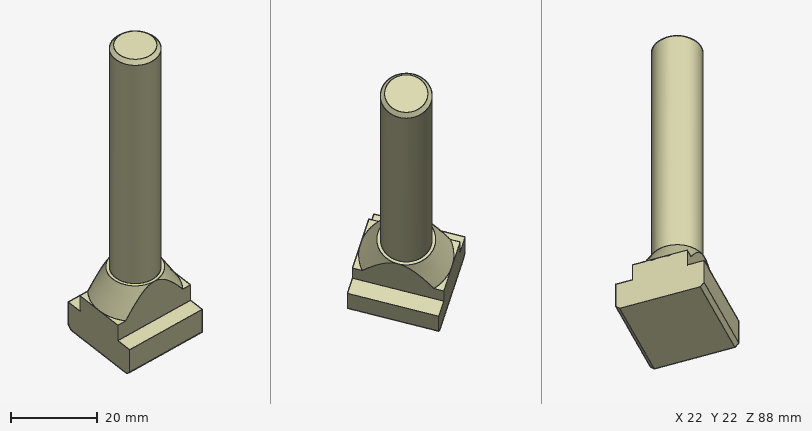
import math

import cadquery as cq

total_height = 88.0
head_size = 22.0
head_height = 8.0
head_chamfer = 1.0
neck_width = 13.6
neck_top = 20.0
cone_half_angle = 30.0
shank_diameter = 12.0
shank_chamfer = 1.0

cone_height = (head_size - neck_width) / 2 / math.tan(math.radians(cone_half_angle))
cone_bottom = neck_top - cone_height


def make_block(width, height):
    """Block standing on Z = 0, centred on the axis and as long in Y as the head."""
    return cq.Workplane("XY").rect(width, head_size).extrude(height)


def make_head():
    """Square foot of the T, bevelled along its two lower edges parallel to Y."""
    return make_block(head_size, head_height).faces("<Z").edges("|Y").chamfer(head_chamfer)


def make_neck():
    """Slot-guiding neck: a plain block below, a cone trimmed to the block's width above."""
    cone = (
        cq.Workplane("XY", origin=(0, 0, cone_bottom))
        .circle(head_size / 2)
        .extrude(cone_height, taper=cone_half_angle)
    )
    trimmed_cone = cone.intersect(make_block(neck_width, neck_top))
    return make_block(neck_width, cone_bottom).union(trimmed_cone)


def make_shank():
    """Round shank on the neck, chamfered at its free end."""
    shank = (
        cq.Workplane("XY", origin=(0, 0, neck_top))
        .circle(shank_diameter / 2)
        .extrude(total_height - neck_top)
    )
    return shank.faces(">Z").chamfer(shank_chamfer)


result = make_head().union(make_neck()).union(make_shank())